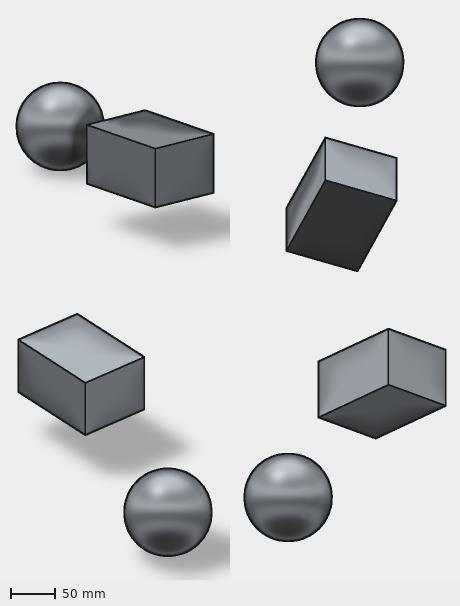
import cadquery as cq

ball_radius = 50.0

block_length = 120.0
block_width = 87.0
block_height = 70.0
block_left = 186.845
block_front = -119.515
block_bottom = 0.0


def make_ball():
    return cq.Workplane("XY").sphere(ball_radius)


def make_block():
    return (
        cq.Workplane("XY")
        .box(block_length, block_width, block_height, centered=False)
        .translate((block_left, block_front, block_bottom))
    )


ball = make_ball()
block = make_block()

result = cq.Compound.makeCompound([ball.val(), block.val()])